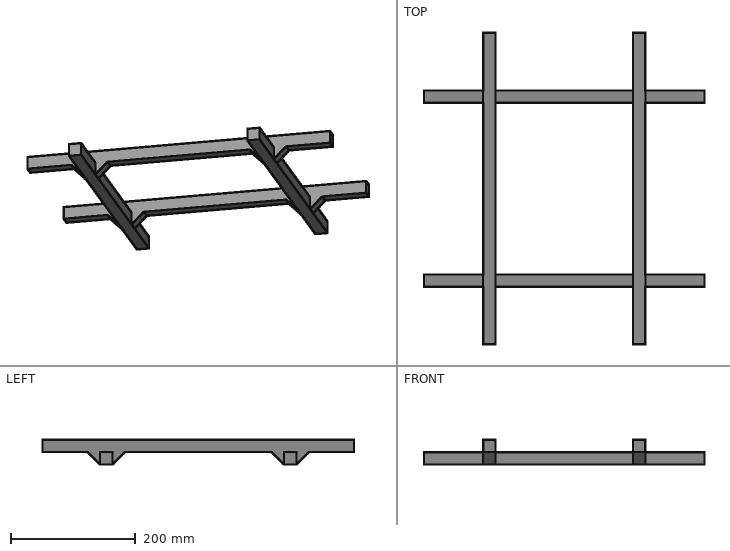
import cadquery as cq

bar = 20.0

cross_length = 450.0
cross_spacing = 295.0

rail_length = 500.0
rail_spacing = 240.0

gusset_leg = bar

cross_positions = (-cross_spacing / 2, cross_spacing / 2)
rail_positions = (-rail_spacing / 2, rail_spacing / 2)


def cross_bar(y):
    """Lower bar along X, resting on Z = 0."""
    blank = cq.Workplane("XY").box(cross_length, bar, bar, centered=(True, True, False))
    return blank.translate((0, y, 0))


def rail(x):
    """Upper bar along Y, resting on the cross bars."""
    blank = cq.Workplane("XY").box(bar, rail_length, bar, centered=(True, True, False))
    return blank.translate((x, 0, bar))


def gusset_pair(x, y):
    """Trapezoid through the crossing, whose sloping ends are the two gussets."""
    half_bottom = bar / 2
    half_top = half_bottom + gusset_leg
    outline = [
        (-half_bottom, bar - gusset_leg),
        (half_bottom, bar - gusset_leg),
        (half_top, bar),
        (-half_top, bar),
    ]
    trapezoid = cq.Workplane("YZ").polyline(outline).close().extrude(bar / 2, both=True)
    return trapezoid.translate((x, y, 0))


frame = cq.Workplane("XY")
for y in cross_positions:
    frame = frame.union(cross_bar(y))
for x in rail_positions:
    frame = frame.union(rail(x))
    for y in cross_positions:
        frame = frame.union(gusset_pair(x, y))

result = frame